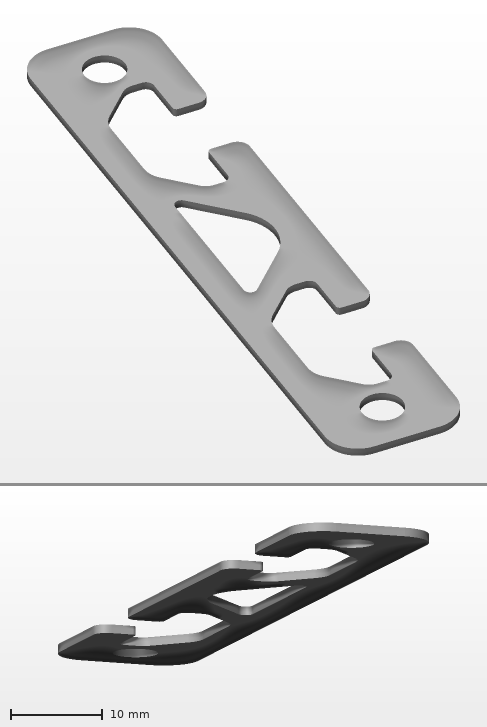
import cadquery as cq

LENGTH = 80.0
WIDTH = 16.0
THICKNESS = 1.0
CORNER_RADIUS = 4.0

HOLE_DIAMETER = 5.0
HOLE_END_DISTANCE = 6.0

SLOT_SPACING = 40.0
MOUTH_WIDTH = 8.0
CAVITY_WIDTH = 20.0
LIP_DEPTH = 4.5
FLOOR_Y = 3.8
FLOOR_WIDTH = 10.6
MOUTH_RADIUS = 1.5
LIP_RADIUS = 0.5
CAVITY_TOP_RADIUS = 1.0
CAVITY_SIDE_RADIUS = 2.0
FLOOR_RADIUS = 3.0

WINDOW_HALF_WIDTH = 10.3
WINDOW_CORNER_RADIUS = 0.8
WINDOW_APEX_RADIUS = 5.6

EDGE_TOLERANCE = 0.1


def fillet_at(body, points, radius):
    """Round the vertical edges that stand on the given XY points."""
    picker = cq.selectors.BoxSelector
    edges = body.edges("|Z")
    picked = []
    for x, y in points:
        low = (x - EDGE_TOLERANCE, y - EDGE_TOLERANCE, -THICKNESS)
        high = (x + EDGE_TOLERANCE, y + EDGE_TOLERANCE, 2 * THICKNESS)
        picked += edges.edges(picker(low, high)).vals()
    return body.newObject(picked).fillet(radius)


def cut_t_slot(body, center_x):
    """Cut one T-slot with a sloped lower cavity and rounded corners."""
    lip_y = WIDTH - LIP_DEPTH
    slope_top_y = FLOOR_Y + (CAVITY_WIDTH - FLOOR_WIDTH) / 2
    corners = [
        (MOUTH_WIDTH / 2, WIDTH, MOUTH_RADIUS),
        (MOUTH_WIDTH / 2, lip_y, LIP_RADIUS),
        (CAVITY_WIDTH / 2, lip_y, CAVITY_TOP_RADIUS),
        (CAVITY_WIDTH / 2, slope_top_y, CAVITY_SIDE_RADIUS),
        (FLOOR_WIDTH / 2, FLOOR_Y, FLOOR_RADIUS),
    ]
    right_side = [(center_x + dx, y) for dx, y, _ in corners]
    left_side = [(center_x - dx, y) for dx, y, _ in reversed(corners)]
    slot = cq.Workplane("XY").polyline(right_side + left_side).close().extrude(THICKNESS)
    body = body.cut(slot)
    for dx, y, radius in corners:
        body = fillet_at(body, [(center_x - dx, y), (center_x + dx, y)], radius)
    return body


def make_window():
    """Triangular cutter centred on the plate, with a broad rounded apex."""
    apex = (0, FLOOR_Y + WINDOW_HALF_WIDTH)
    base = [(-WINDOW_HALF_WIDTH, FLOOR_Y), (WINDOW_HALF_WIDTH, FLOOR_Y)]
    window = cq.Workplane("XY").polyline(base + [apex]).close().extrude(THICKNESS)
    window = fillet_at(window, base, WINDOW_CORNER_RADIUS)
    return fillet_at(window, [apex], WINDOW_APEX_RADIUS)


plate = (
    cq.Workplane("XY")
    .box(LENGTH, WIDTH, THICKNESS, centered=(True, False, False))
    .edges("|Z")
    .fillet(CORNER_RADIUS)
)

hole_x = LENGTH / 2 - HOLE_END_DISTANCE
holes = (
    cq.Workplane("XY")
    .pushPoints([(-hole_x, WIDTH / 2), (hole_x, WIDTH / 2)])
    .circle(HOLE_DIAMETER / 2)
    .extrude(THICKNESS)
)
plate = plate.cut(holes)

for slot_x in (-SLOT_SPACING / 2, SLOT_SPACING / 2):
    plate = cut_t_slot(plate, slot_x)

result = plate.cut(make_window())